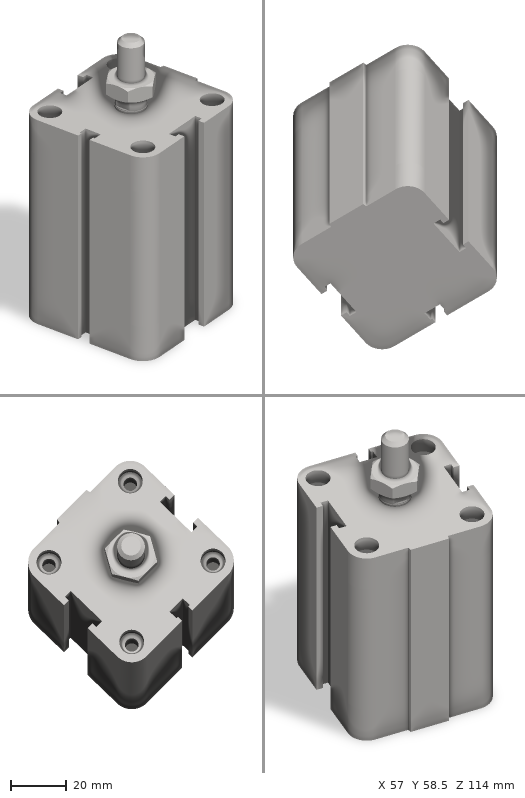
import cadquery as cq
import math


WIDTH = 57.0
HALF = WIDTH / 2
HOLE_OFFSET = 21.0
CORNER_RADIUS = HALF - HOLE_OFFSET
LUG_HEIGHT = 1.5
LUG_BASE_WIDTH = 15.8
LUG_TOP_WIDTH = 15.2

SIDE_SLOT = dict(opening=12.0, undercut=16.0, lip=2.5, depth=5.5)
FRONT_SLOT = dict(opening=5.2, undercut=6.8, lip=2.0, depth=5.6)

TOTAL_HEIGHT = 114.0
HOUSING_HEIGHT = 85.5
BOTTOM_CAP_HEIGHT = 14.5
TOP_CAP_HEIGHT = 14.6
BARREL_HEIGHT = HOUSING_HEIGHT - BOTTOM_CAP_HEIGHT - TOP_CAP_HEIGHT

HOLE_DIAMETER = 4.9
COUNTERBORE_DIAMETER = 9.0
COUNTERBORE_DEPTH = 5.7
HOLE_DEPTH = TOP_CAP_HEIGHT

NUT_SIDES = 6
NUT_ACROSS_FLATS = 17.0
NUT_THICKNESS = 6.0
NUT_BOTTOM = 91.8
NUT_FACE_DIAMETER = NUT_ACROSS_FLATS
NUT_CHAMFER_ANGLE = 30.0

ROD_DIAMETER = 12.0
NECK_DIAMETER = 11.7
COLLAR_HEIGHT = 1.0
NECK_BOTTOM = HOUSING_HEIGHT + COLLAR_HEIGHT
NECK_CONE_HEIGHT = (ROD_DIAMETER - NECK_DIAMETER) / 2
NECK_TOP_CHAMFER = 0.3
STUD_DIAMETER = 10.0
STUD_CHAMFER = 1.5
ROD_BOTTOM = HOUSING_HEIGHT - TOP_CAP_HEIGHT
FLATS_WIDTH = 10.0
FLATS_STEP = 0.3
FLATS_BOTTOM = NECK_BOTTOM + FLATS_STEP


def t_slot(opening, undercut, lip, depth):
    """Cutter for a T-slot in the -Y side, as tall as the housing."""
    mouth = cq.Workplane("XY").box(opening, lip, HOUSING_HEIGHT, centered=(True, False, False))
    chamber = cq.Workplane("XY").box(undercut, depth - lip, HOUSING_HEIGHT, centered=(True, False, False))
    return mouth.union(chamber.translate((0, lip, 0))).translate((0, -HALF, 0))


def profile_block(bottom, height):
    """A length of the housing profile: rounded square, rear lug and three T-slots."""
    block = (
        cq.Workplane("XY")
        .rect(WIDTH, WIDTH)
        .extrude(height)
        .edges("|Z")
        .fillet(CORNER_RADIUS)
    )
    lug = (
        cq.Workplane("XY")
        .polyline([
            (-LUG_BASE_WIDTH / 2, HALF),
            (LUG_BASE_WIDTH / 2, HALF),
            (LUG_TOP_WIDTH / 2, HALF + LUG_HEIGHT),
            (-LUG_TOP_WIDTH / 2, HALF + LUG_HEIGHT),
        ])
        .close()
        .extrude(height)
    )
    block = block.union(lug).cut(t_slot(**FRONT_SLOT))
    for angle in (-90, 90):
        block = block.cut(t_slot(**SIDE_SLOT).rotate((0, 0, 0), (0, 0, 1), angle))
    return block.translate((0, 0, bottom))


def make_housing():
    """Caps and barrel in one solid; unmerged faces keep the cap lines on the outside."""
    bottom_cap = profile_block(0, BOTTOM_CAP_HEIGHT)
    barrel = profile_block(BOTTOM_CAP_HEIGHT, BARREL_HEIGHT)
    top_cap = (
        profile_block(BOTTOM_CAP_HEIGHT + BARREL_HEIGHT, TOP_CAP_HEIGHT)
        .faces(">Z")
        .workplane(origin=(0, 0, HOUSING_HEIGHT))
        .rect(2 * HOLE_OFFSET, 2 * HOLE_OFFSET, forConstruction=True)
        .vertices()
        .cboreHole(HOLE_DIAMETER, COUNTERBORE_DIAMETER, COUNTERBORE_DEPTH, HOLE_DEPTH)
        .faces(">Z")
        .workplane(origin=(0, 0, HOUSING_HEIGHT))
        .hole(ROD_DIAMETER, HOUSING_HEIGHT - ROD_BOTTOM)
    )
    return bottom_cap.union(barrel, clean=False).union(top_cap, clean=False)


def make_rod():
    """Turned rod with a neck, a chamfered stud and two wrench flats."""
    rod_r = ROD_DIAMETER / 2
    neck_r = NECK_DIAMETER / 2
    stud_r = STUD_DIAMETER / 2
    rod = (
        cq.Workplane("XZ")
        .polyline([
            (0, ROD_BOTTOM),
            (rod_r, ROD_BOTTOM),
            (rod_r, NECK_BOTTOM - NECK_CONE_HEIGHT),
            (neck_r, NECK_BOTTOM),
            (neck_r, NUT_BOTTOM - NECK_TOP_CHAMFER),
            (neck_r - NECK_TOP_CHAMFER, NUT_BOTTOM),
            (stud_r, NUT_BOTTOM),
            (stud_r, TOTAL_HEIGHT - STUD_CHAMFER),
            (stud_r - STUD_CHAMFER, TOTAL_HEIGHT),
            (0, TOTAL_HEIGHT),
        ])
        .close()
        .revolve(360, (0, 0, 0), (0, 1, 0))
    )
    flat_cutter = cq.Workplane("XY").box(
        ROD_DIAMETER, ROD_DIAMETER, NUT_BOTTOM - FLATS_BOTTOM, centered=(True, False, False)
    )
    for angle in (0, 180):
        cutter = flat_cutter.translate((0, FLATS_WIDTH / 2, FLATS_BOTTOM))
        rod = rod.cut(cutter.rotate((0, 0, 0), (0, 0, 1), angle))
    return rod


def make_nut():
    """Hexagon with corners on X, both ends chamfered, bored to fit the stud."""
    corner_r = NUT_ACROSS_FLATS / 2 / math.cos(math.pi / NUT_SIDES)
    face_r = NUT_FACE_DIAMETER / 2
    chamfer_height = (corner_r - face_r) * math.tan(math.radians(NUT_CHAMFER_ANGLE))
    hexagon = cq.Workplane("XY").polygon(NUT_SIDES, 2 * corner_r).extrude(NUT_THICKNESS)
    chamfer_envelope = (
        cq.Workplane("XZ")
        .polyline([
            (0, 0),
            (face_r, 0),
            (corner_r, chamfer_height),
            (corner_r, NUT_THICKNESS - chamfer_height),
            (face_r, NUT_THICKNESS),
            (0, NUT_THICKNESS),
        ])
        .close()
        .revolve(360, (0, 0, 0), (0, 1, 0))
    )
    bore = cq.Workplane("XY").circle(STUD_DIAMETER / 2).extrude(NUT_THICKNESS)
    return hexagon.intersect(chamfer_envelope).cut(bore).translate((0, 0, NUT_BOTTOM))


housing = make_housing()
rod = make_rod()
nut = make_nut()

result = cq.Compound.makeCompound([housing.solids().val(), rod.solids().val(), nut.solids().val()])